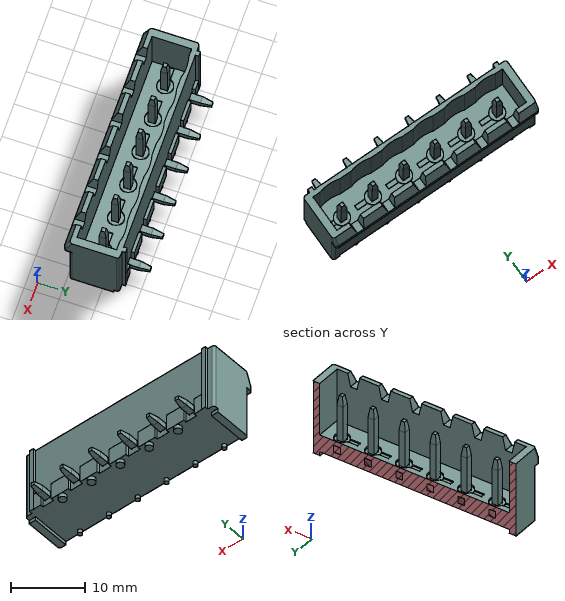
import cadquery as cq


pin_count = 6
length = 33.28
end_to_first_pin = 3.93
pitch = (length - 2 * end_to_first_pin) / (pin_count - 1)
pin_xs = [(i - (pin_count - 1) / 2) * pitch for i in range(pin_count)]
gap_xs = [x + pitch / 2 for x in pin_xs[:-1]]

height = 12.0
back_y = 7.9
front_y = 0.8
lip_bottom = 9.0
lip_corner = 10.0
corner_radius = 0.4

end_wall = 1.13
cavity_length = length - 2 * end_wall
cavity_front = 1.5
cavity_back = 7.12
floor_z = 3.5
bulge_width = 3.25
bulge_depth = 0.23

notch_top_width = 1.95
notch_bottom_width = 1.05
notch_offset = 0.05

recess_diameter = 2.3
recess_depth = 0.3
slot_width = 0.7
slot_depth = 0.2
slot_reach = 2.75

foot_height = 0.63
foot_length = end_wall
foot_back = 7.1
front_peg_diameter = 0.7
front_peg_y = 1.15
back_peg_diameter = 1.2

tab_width = 0.7
tab_y = 8.4
ridge_y = 8.35
ridge_length = 3.03
end_ridge_to_pin = 0.8
back_peg_y = ridge_y - back_peg_diameter / 2

pin_size = 1.0
pin_tip_size = 0.55
pin_taper = 1.53
pin_y = 4.33
pin_top = 10.55
pin_leg_z = 2.13
pin_end_y = 11.0


def block(x0, x1, y0, y1, z0, z1):
    """Box between two opposite corners."""
    return cq.Workplane("XY").box(x1 - x0, y1 - y0, z1 - z0, centered=False).translate((x0, y0, z0))


def peg(x, y, diameter):
    """Round peg from the foot level up to the underside of the housing."""
    return cq.Workplane("XY").center(x, y).circle(diameter / 2).extrude(foot_height)


def make_shell():
    """Outer block with its sloped front lip and rounded corners."""
    side = [
        (front_y, 0),
        (back_y, 0),
        (back_y, height),
        (front_y, height),
        (0, lip_corner),
        (0, lip_bottom),
        (front_y, lip_bottom),
    ]
    shell = cq.Workplane("YZ").polyline(side).close().extrude(length / 2, both=True)
    for end in ("<X", ">X"):
        shell = shell.faces(end).edges("not |Y").fillet(corner_radius)
    return shell


def make_cavity():
    """Cavity whose back wall bulges outward behind each pin."""
    half = cavity_length / 2
    outline = cq.Workplane("XY").workplane(offset=floor_z)
    outline = outline.moveTo(half, cavity_front).lineTo(-half, cavity_front).lineTo(-half, cavity_back)
    for x in pin_xs:
        outline = outline.lineTo(x - bulge_width / 2, cavity_back)
        outline = outline.threePointArc((x, cavity_back + bulge_depth), (x + bulge_width / 2, cavity_back))
    return outline.lineTo(half, cavity_back).close().extrude(height - floor_z)


def make_notch(x):
    """Tapered notch through the front wall, its floor level with the lip corner."""
    outline = [
        (x - notch_bottom_width / 2, lip_corner),
        (x + notch_bottom_width / 2, lip_corner),
        (x + notch_top_width / 2, height),
        (x - notch_top_width / 2, height),
    ]
    return cq.Workplane("XZ").polyline(outline).close().extrude(-cavity_front)


def make_floor_recess(x):
    """Round recess around a pin with a shallower slot toward -X."""
    round_part = cq.Workplane("XY").workplane(offset=floor_z - recess_depth)
    round_part = round_part.center(x, pin_y).circle(recess_diameter / 2).extrude(recess_depth)
    half_width = slot_width / 2
    slot = block(x - slot_reach, x, pin_y - half_width, pin_y + half_width, floor_z - slot_depth, floor_z)
    return round_part.union(slot)


def make_back_details():
    """Full-height end tabs and the lower ridges between the pin legs."""
    tab_outer = cavity_length / 2
    tab_inner = tab_outer - tab_width
    ridge_end = pin_xs[-1] + end_ridge_to_pin
    details = block(tab_inner, tab_outer, cavity_back, tab_y, foot_height, height).cut(make_cavity())
    details = details.union(block(ridge_end, tab_outer, back_y, ridge_y, foot_height, floor_z))
    details = details.union(details.mirror("YZ"))
    for x in gap_xs:
        ridge = block(x - ridge_length / 2, x + ridge_length / 2, back_y, ridge_y, foot_height, floor_z)
        details = details.union(ridge)
    return details


def make_pin(x):
    """Square pin bent once, with a tapered tip at the top and at the back."""
    half = pin_size / 2
    upright_base = pin_leg_z - half
    upright = block(x - half, x + half, pin_y - half, pin_y + half, upright_base, pin_top - pin_taper)
    leg = block(x - half, x + half, pin_y, pin_end_y - pin_taper, upright_base, pin_leg_z + half)

    def tip(face):
        return face.rect(pin_size, pin_size).workplane(offset=pin_taper).rect(pin_tip_size, pin_tip_size).loft()

    top_tip = tip(cq.Workplane("XY", origin=(x, pin_y, pin_top - pin_taper)))
    back_tip = tip(cq.Workplane("ZX", origin=(x, pin_end_y - pin_taper, pin_leg_z)))
    return upright.union(leg).union(top_tip).union(back_tip)


def make_housing(pins):
    """Housing with matching passages for the pins."""
    foot_inner = length / 2 - foot_length
    housing = make_shell().cut(make_cavity())
    housing = housing.cut(block(-foot_inner, foot_inner, 0, back_y, 0, foot_height))
    housing = housing.cut(block(-length / 2, length / 2, foot_back, back_y, 0, foot_height))
    housing = housing.union(make_back_details())
    for x in gap_xs:
        housing = housing.union(peg(x, back_peg_y, back_peg_diameter))
    for x, pin in zip(pin_xs, pins):
        housing = housing.union(peg(x, front_peg_y, front_peg_diameter))
        housing = housing.cut(make_notch(x + notch_offset)).cut(make_floor_recess(x)).cut(pin)
    return housing


pins = [make_pin(x) for x in pin_xs]
housing = make_housing(pins)

result = cq.Compound.makeCompound([housing.val(), *[pin.val() for pin in pins]])